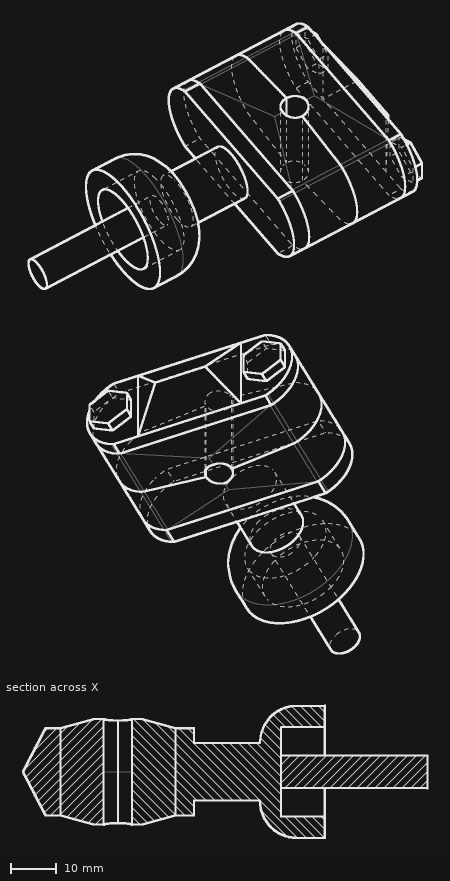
import cadquery as cq
import math

clamp_width = 49.0
half_height = 9.5
shoulder_x = 18.7
shoulder_z = 9.3
plate_flat_half_width = 18.1

jaw_length = 12.6
back_plate_thickness = 3.2
front_plate_thickness = 4.0
stem_length = 14.3
cup_length = 14.2
rod_length = 22.4

pad_half_width = 17.8
crown_height = 11.6
crown_half_length = 5.2
cable_hole_diameter = 6.1

wedge_height = 4.9
wedge_base_width = 24.5
wedge_ridge_width = 11.9

bolt_offset = 18.35
bolt_across_flats = 8.9
bolt_head_height = 2.4

stem_radius = 6.35
cup_radius = 14.5
cup_bore_radius = 9.7
cup_bore_depth = 9.5
rod_radius = 3.6

back_face = jaw_length + back_plate_thickness
front_face = -jaw_length - front_plate_thickness
cup_back = front_face - stem_length
cup_rim = cup_back - cup_length
cup_floor = cup_rim + cup_bore_depth
rod_end = cup_rim - rod_length


def clamp_prism(y_start, y_end, flat_half_width, middle_height):
    """Rounded clamp outline extruded along Y, with top and bottom rising to middle_height at X = 0."""
    half_width = clamp_width / 2
    outline = (
        cq.Workplane("XZ", origin=(0, y_end, 0))
        .moveTo(shoulder_x, -shoulder_z)
        .threePointArc((half_width, 0), (shoulder_x, shoulder_z))
        .lineTo(flat_half_width, half_height)
        .lineTo(0, middle_height)
        .lineTo(-flat_half_width, half_height)
        .lineTo(-shoulder_x, shoulder_z)
        .threePointArc((-half_width, 0), (-shoulder_x, -shoulder_z))
        .lineTo(-flat_half_width, -half_height)
        .lineTo(0, -middle_height)
        .lineTo(flat_half_width, -half_height)
        .close()
    )
    return outline.extrude(y_end - y_start)


def make_jaw(side):
    """Half of the clamp on one side (+1 or -1 along Y) of the parting plane, with half the cable hole."""
    y_start, y_end = sorted((0, side * jaw_length))
    prism = clamp_prism(y_start, y_end, pad_half_width, crown_height)
    profile = (
        cq.Workplane("YZ")
        .polyline([
            (0, -crown_height),
            (side * crown_half_length, -crown_height),
            (side * jaw_length, -half_height),
            (side * jaw_length, half_height),
            (side * crown_half_length, crown_height),
            (0, crown_height),
        ])
        .close()
        .extrude(clamp_width / 2, both=True)
    )
    cable_hole = cq.Workplane("XY").circle(cable_hole_diameter / 2).extrude(crown_height, both=True)
    return prism.intersect(profile).cut(cable_hole)


def make_back_plate():
    """Back plate with a chisel-shaped wedge whose ridge runs along X."""
    plate = clamp_prism(jaw_length, back_face, plate_flat_half_width, half_height)
    chisel = (
        cq.Workplane("YZ")
        .polyline([
            (back_face, -half_height),
            (back_face + wedge_height, 0),
            (back_face, half_height),
        ])
        .close()
        .extrude(wedge_base_width / 2, both=True)
    )
    taper = (
        cq.Workplane("XY")
        .polyline([
            (-wedge_base_width / 2, back_face),
            (-wedge_ridge_width / 2, back_face + wedge_height),
            (wedge_ridge_width / 2, back_face + wedge_height),
            (wedge_base_width / 2, back_face),
        ])
        .close()
        .extrude(half_height, both=True)
    )
    return plate.union(chisel.intersect(taper))


def make_front_plate():
    """Front plate with the stem and the domed cup turned about the Y axis."""
    plate = clamp_prism(front_face, -jaw_length, plate_flat_half_width, half_height)
    dome_radius = cup_radius - stem_radius
    dome_diagonal = dome_radius * math.sqrt(0.5)
    dome_edge = cup_back - dome_radius
    stem_and_cup = (
        cq.Workplane("XY")
        .moveTo(0, front_face)
        .lineTo(stem_radius, front_face)
        .lineTo(stem_radius, cup_back)
        .threePointArc(
            (stem_radius + dome_diagonal, dome_edge + dome_diagonal),
            (cup_radius, dome_edge),
        )
        .lineTo(cup_radius, cup_rim)
        .lineTo(cup_bore_radius, cup_rim)
        .lineTo(cup_bore_radius, cup_floor)
        .lineTo(0, cup_floor)
        .close()
        .revolve(360, (0, 0, 0), (0, 1, 0))
    )
    return plate.union(stem_and_cup)


def make_rod():
    """Plain rod standing on the floor of the cup."""
    return cq.Workplane("XZ", origin=(0, cup_floor, 0)).circle(rod_radius).extrude(cup_floor - rod_end)


def make_bolt_head(x):
    """Hexagonal bolt head on the back plate, with two corners pointing along Z."""
    corner_diameter = bolt_across_flats / math.cos(math.pi / 6)
    return (
        cq.Workplane("XZ", origin=(x, back_face + bolt_head_height, 0))
        .polygon(6, corner_diameter)
        .extrude(bolt_head_height)
        .rotate((x, 0, 0), (x, 1, 0), 90)
    )


jaws = [make_jaw(side) for side in (1, -1)]
back_plate = make_back_plate()
front_plate = make_front_plate()
rod = make_rod()
bolt_heads = [make_bolt_head(side * bolt_offset) for side in (-1, 1)]

result = cq.Compound.makeCompound([
    *[jaw.val() for jaw in jaws],
    back_plate.val(),
    front_plate.val(),
    rod.val(),
    *[bolt_head.val() for bolt_head in bolt_heads],
])